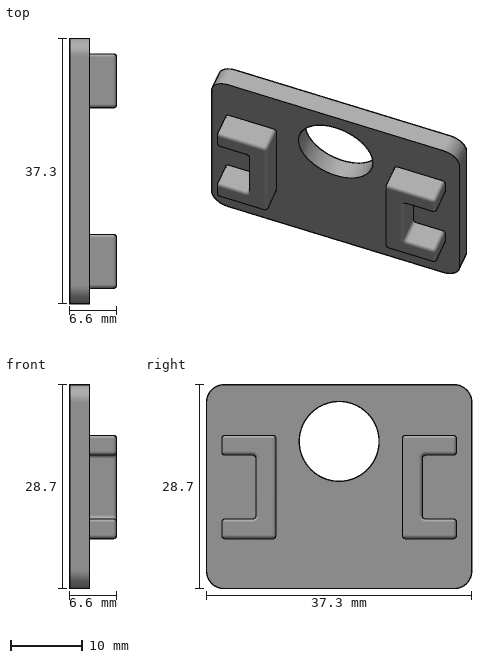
import cadquery as cq

plate_width = 37.3
plate_height = 28.7
plate_thickness = 2.8
plate_corner_radius = 2.5

window_diameter = 11.2
window_center_below_top = 8.0

lug_depth = 3.8
lug_width = 7.6
lug_height = 14.55
lug_bottom_margin = 7.0
lug_wall = 2.8
lug_side_margin = 2.15
lug_edge_radius = 0.5


def make_plate():
    """Rounded plate occupying X from 0 to its thickness, centred on Y and Z."""
    return (
        cq.Workplane("YZ")
        .rect(plate_width, plate_height)
        .extrude(plate_thickness)
        .edges("|X")
        .fillet(plate_corner_radius)
    )


def make_window():
    """Cylinder that cuts the round window."""
    window_z = plate_height / 2 - window_center_below_top
    return (
        cq.Workplane("YZ")
        .center(0, window_z)
        .circle(window_diameter / 2)
        .extrude(plate_thickness)
    )


def make_lug():
    """C-shaped lug on the -Y half: two arms reaching to -Y, joined by a web."""
    outer_y = -plate_width / 2 + lug_side_margin
    inner_y = outer_y + lug_width
    web_y = inner_y - lug_wall
    bottom_z = -plate_height / 2 + lug_bottom_margin
    top_z = bottom_z + lug_height
    lower_arm_z = bottom_z + lug_wall
    upper_arm_z = top_z - lug_wall
    outline = [
        (outer_y, top_z),
        (inner_y, top_z),
        (inner_y, bottom_z),
        (outer_y, bottom_z),
        (outer_y, lower_arm_z),
        (web_y, lower_arm_z),
        (web_y, upper_arm_z),
        (outer_y, upper_arm_z),
    ]
    return (
        cq.Workplane("YZ", origin=(plate_thickness, 0, 0))
        .polyline(outline)
        .close()
        .extrude(lug_depth)
        .edges("|X")
        .fillet(lug_edge_radius)
        .faces(">X")
        .edges()
        .fillet(lug_edge_radius)
    )


lug = make_lug()
result = make_plate().cut(make_window()).union(lug).union(lug.mirror("XZ"))